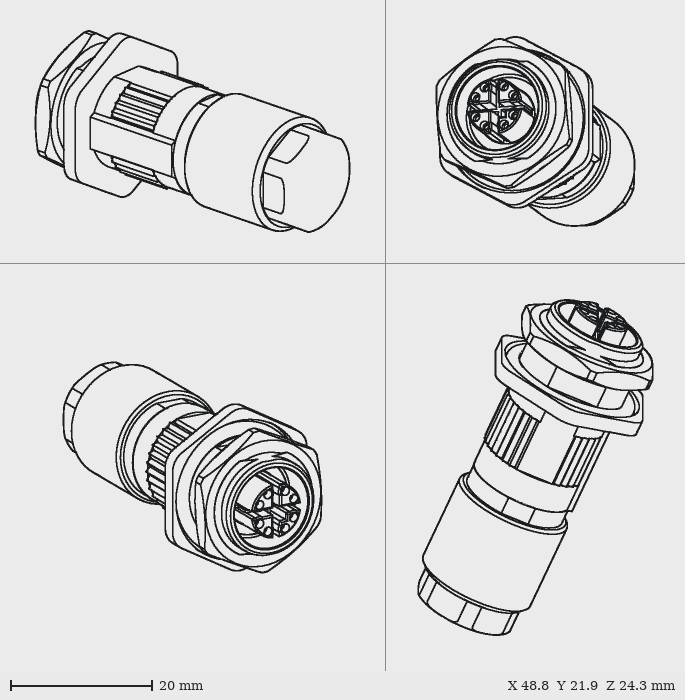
import cadquery as cq
import math


length = 48.8
shell_start = 1.5
thread_start = 3.3
thread_cone_end = 3.8
nut_start = 3.85
nut_end = 6.75
bore_floor = 6.85
flange_start = 10.6
flange_end = 12.75
knurl_start = 15.9
knurl_end = 23.8
collar_end = 28.1
sleeve_start = 30.75
sleeve_end = 44.75

rim_radius = 7.12
rim_chamfer = 0.45
thread_radius = 16.0 / 2
shell_flat_height = 7.05
bore_radius = 12.0 / 2
bore_chamfer = 0.15
seal_inner_radius = 8.2 / 2
seal_outer_radius = 5.5

block_radius = 4.0
block_gap = 1.05
block_edge_chamfer = 0.25
contact_near = 1.4
contact_far = 2.8
lobe_radius = 1.02
socket_diameter = 1.25
socket_depth = 1.45
contact_diameter = 0.75
contact_depth = 3.4
key_notch = 1.55
shield_start = 2.45
shield_thickness = 0.4
shield_offset = 0.15
shield_reach = 3.7

nut_across_flats = 19.0
nut_radius = 10.7
nut_face_radius = 9.35
nut_chamfer_length = 0.75
nut_hole_radius = 7.55
nut_turn = 3.7

flange_across_flats = 21.85
flange_corner_radius = 3.05
ring_radius = 8.95
ring_tube_radius = 1.0
ring_protrusion = 0.3
ring_groove_radius = 10.4
ring_groove_floor = 12.2

body_radius = 15.0 / 2
knurl_peak_radius = 7.75
knurl_valley_radius = 7.12
knurl_count = 36
plate_face_y = -7.7
plate_base_half_width = 2.95
plate_face_half_width = 2.45
plate_base_y = -6.85

neck_radius = 7.4
neck_flat_height = 7.12
sleeve_radius = 16.8 / 2
sleeve_front_chamfer = 0.45
sleeve_rear_chamfer = 0.8
cable_nut_across_flats = 13.95
cable_nut_radius = 15.0 / 2
cable_nut_edge_radius = 0.8


def section(x):
    """Sketch plane across the axis: local x is +Y, local y is +Z."""
    return cq.Workplane("YZ", origin=(x, 0, 0))


def disc(x_start, x_end, radius):
    return section(x_start).circle(radius).extrude(x_end - x_start)


def hexagon(x_start, x_end, across_flats):
    """Hexagonal prism with corners on +Z and -Z."""
    corner_diameter = across_flats / math.cos(math.radians(30))
    prism = section(x_start).polygon(6, corner_diameter).extrude(x_end - x_start)
    return prism.rotate((0, 0, 0), (1, 0, 0), 30)


def torus(x, center_radius, tube_radius):
    return cq.Workplane(cq.Solid.makeTorus(center_radius, tube_radius, cq.Vector(x, 0, 0), cq.Vector(1, 0, 0)))


def trim_flats(solid, half_height):
    """Cut the +Z and -Z sides of a solid down to a pair of flats."""
    slab = cq.Workplane("XY").box(length, 4 * thread_radius, 2 * half_height, centered=(False, True, True))
    return solid.intersect(slab)


def front_shell():
    profile = [
        (shell_start, 0),
        (shell_start, rim_radius - rim_chamfer),
        (shell_start + rim_chamfer, rim_radius),
        (thread_start, rim_radius),
        (thread_cone_end, thread_radius),
        (flange_start, thread_radius),
        (flange_start, 0),
    ]
    shell = cq.Workplane("XY").polyline(profile).close().revolve(360, (0, 0, 0), (1, 0, 0))
    shell = trim_flats(shell, shell_flat_height)
    bore = disc(shell_start, bore_floor, bore_radius)
    mouth = cq.Workplane(cq.Solid.makeCone(
        bore_radius + bore_chamfer, bore_radius, bore_chamfer,
        cq.Vector(shell_start, 0, 0), cq.Vector(1, 0, 0)))
    seal_tube = (seal_outer_radius - seal_inner_radius) / 2
    seal = torus(bore_floor, seal_inner_radius + seal_tube, seal_tube)
    return shell.cut(bore).cut(mouth).union(seal)


def contact_block(has_notch):
    """Block in the +Y +Z quarter of the insert, carrying two contacts."""
    contacts = [(contact_near, contact_far), (contact_far, contact_near)]
    corner = block_gap / 2
    depth = bore_floor
    block = section(0).rect(block_radius, block_radius, centered=False).extrude(depth)
    block = block.translate((0, corner, corner))
    if has_notch:
        block = block.cut(section(0).rect(2 * key_notch, 2 * key_notch).extrude(depth))
    block = block.faces("<X").chamfer(block_edge_chamfer)
    for y, z in contacts:
        lobe = disc(0, depth, lobe_radius).faces("<X").chamfer(block_edge_chamfer)
        block = block.union(lobe.translate((0, y, z)))
    block = block.intersect(disc(0, depth, block_radius).faces("<X").chamfer(block_edge_chamfer))
    drill_tip = cq.Workplane(cq.Solid.makeCone(
        contact_diameter / 2, 0, contact_diameter / 2, cq.Vector(contact_depth, 0, 0), cq.Vector(1, 0, 0)))
    socket = disc(0, socket_depth, socket_diameter / 2)
    socket = socket.union(disc(0, contact_depth, contact_diameter / 2)).union(drill_tip)
    for y, z in contacts:
        block = block.cut(socket.translate((0, y, z)))
    return block


def insert():
    body = None
    for quarter in range(4):
        angle = 90 * quarter
        block = contact_block(quarter == 2).rotate((0, 0, 0), (1, 0, 0), angle)
        arm = (
            section(shield_start)
            .center(shield_offset, shield_reach / 2)
            .rect(shield_thickness, shield_reach)
            .extrude(bore_floor - shield_start)
            .rotate((0, 0, 0), (1, 0, 0), angle)
        )
        piece = block.union(arm)
        body = piece if body is None else body.union(piece)
    return body


def locking_nut():
    profile = [
        (nut_start, 0),
        (nut_start, nut_face_radius),
        (nut_start + nut_chamfer_length, nut_radius),
        (nut_end - nut_chamfer_length, nut_radius),
        (nut_end, nut_face_radius),
        (nut_end, 0),
    ]
    envelope = cq.Workplane("XY").polyline(profile).close().revolve(360, (0, 0, 0), (1, 0, 0))
    nut = hexagon(nut_start, nut_end, nut_across_flats).intersect(envelope)
    nut = nut.cut(disc(nut_start, nut_end, nut_hole_radius))
    return nut.rotate((0, 0, 0), (1, 0, 0), -nut_turn)


def flange():
    plate = hexagon(flange_start, flange_end, flange_across_flats)
    plate = plate.edges("|X").fillet(flange_corner_radius)
    groove = disc(flange_start, ring_groove_floor, ring_groove_radius)
    groove = groove.cut(disc(flange_start, ring_groove_floor, thread_radius))
    ring_center_x = flange_start - ring_protrusion + ring_tube_radius
    ring = torus(ring_center_x, ring_radius, ring_tube_radius)
    return plate.cut(groove).union(ring)


def knurl():
    """Ring of V-shaped ridges, with a ridge on each main axis direction."""
    half_pitch = math.pi / knurl_count
    points = []
    for step in range(2 * knurl_count):
        radius = knurl_peak_radius if step % 2 == 0 else knurl_valley_radius
        angle = step * half_pitch
        points.append((radius * math.cos(angle), radius * math.sin(angle)))
    return section(knurl_start).polyline(points).close().extrude(knurl_end - knurl_start)


def name_plate():
    """Raised plate with sloping sides on the -Y side of the grip."""
    outline = [
        (0, plate_base_half_width),
        (plate_base_y, plate_base_half_width),
        (plate_face_y, plate_face_half_width),
        (plate_face_y, -plate_face_half_width),
        (plate_base_y, -plate_base_half_width),
        (0, -plate_base_half_width),
    ]
    return section(flange_end).polyline(outline).close().extrude(collar_end - flange_end)


def grip():
    flat_half_width = math.sqrt(body_radius**2 - shell_flat_height**2)
    core = section(flange_end).rect(2 * flat_half_width, 2 * shell_flat_height)
    core = core.extrude(knurl_end - flange_end)
    plate_slot = section(knurl_start).center(-knurl_peak_radius, 0)
    plate_slot = plate_slot.rect(2 * knurl_peak_radius, 2 * plate_base_half_width)
    ridges = knurl().cut(plate_slot.extrude(knurl_end - knurl_start))
    front = trim_flats(disc(flange_end, knurl_start, body_radius).union(ridges), shell_flat_height)
    collar = disc(knurl_end, collar_end, body_radius)
    neck = trim_flats(disc(collar_end, sleeve_start, neck_radius), neck_flat_height)
    return front.union(core).union(collar).union(neck).union(name_plate())


def sleeve():
    body = disc(sleeve_start, sleeve_end, sleeve_radius)
    body = body.faces("<X").chamfer(sleeve_front_chamfer)
    return body.faces(">X").chamfer(sleeve_rear_chamfer)


def cable_nut():
    envelope = disc(sleeve_end, length, cable_nut_radius).faces(">X").edges().fillet(cable_nut_edge_radius)
    return hexagon(sleeve_end, length, cable_nut_across_flats).intersect(envelope)


result = cable_nut()
for component in (sleeve(), grip(), flange(), locking_nut(), insert(), front_shell()):
    result = result.union(component)